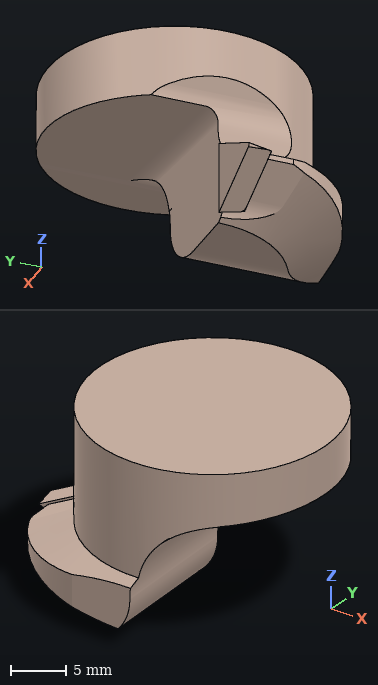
import cadquery as cq
import math


shank_radius = 12.5
head_height = 18.8
rim_top_z = -11.8

cut_z = -14.72
rim_half_height = rim_top_z - cut_z
flank_angle = 27.5
flank_slope = math.tan(math.radians(flank_angle))
rake_angle = 2.0

rim_tip_x = -16.42
rim_tip_end_y = -4.87
rim_arc_mid = (-11.07, -11.56)
rim_arc_end_x = -5.92
rim_side_y = -13.62

seat_tip_half_height = 0.27
seat_end_x = -12.33
seat_end_half_height = seat_tip_half_height + (seat_end_x - rim_tip_x) * flank_slope
gullet_radius = 3.95
ramp_angle = 45.0

relief_radius = 8.0
relief_wall_x = 0.4
relief_center_z = -13.4
heel_radius = 5.2

flange_tilt = 5.0
flange_axis_z = -6.17
chip_wall_y = 0.28
chip_fillet = 1.4

insert_tip_x = -17.87
insert_nose_radius = 0.25
insert_back_x = -11.25
insert_thickness = 2.38
insert_relief = 7.0
insert_face_y = 0.03

reach = 40.0


def make_rim():
    """Double cone about the shank axis, trimmed to the relieved plan outline."""
    bottom_half_height = cut_z + head_height
    bottom_radius = shank_radius - (bottom_half_height - rim_half_height) / flank_slope
    edge_radius = shank_radius + rim_half_height / flank_slope
    double_cone = (
        cq.Workplane("XZ")
        .moveTo(0, rim_top_z)
        .lineTo(shank_radius, rim_top_z)
        .lineTo(edge_radius, cut_z)
        .lineTo(bottom_radius, -head_height)
        .lineTo(0, -head_height)
        .close()
        .revolve(360, (0, 0, 0), (0, 1, 0))
    )
    outline = (
        cq.Workplane("XY", origin=(0, 0, -head_height))
        .moveTo(rim_tip_x, chip_wall_y)
        .lineTo(rim_tip_x, rim_tip_end_y)
        .threePointArc(rim_arc_mid, (rim_arc_end_x, rim_side_y))
        .lineTo(shank_radius, rim_side_y)
        .lineTo(shank_radius, chip_wall_y)
        .close()
        .extrude(head_height)
    )
    return double_cone.intersect(outline)


def make_gullet():
    """Void above the upper seat flank, running through along Y."""
    flank = math.radians(flank_angle)
    ramp = math.radians(ramp_angle)
    seat_end_z = cut_z + seat_end_half_height
    center_x = seat_end_x - gullet_radius * math.sin(flank)
    center_z = seat_end_z + gullet_radius * math.cos(flank)
    ramp_x = center_x + gullet_radius * math.sin(ramp)
    ramp_z = center_z + gullet_radius * math.cos(ramp)
    far_x = ramp_x - reach
    return (
        cq.Workplane("XZ")
        .moveTo(far_x, ramp_z + reach * math.tan(ramp))
        .lineTo(ramp_x, ramp_z)
        .threePointArc((center_x + gullet_radius, center_z), (seat_end_x, seat_end_z))
        .lineTo(far_x, seat_end_z - (seat_end_x - far_x) * flank_slope)
        .close()
        .extrude(reach, both=True)
    )


def make_relief():
    """Void to the right: tilted underside, large hollow, upright wall and rounded heel."""
    center_x = relief_wall_x + relief_radius
    tilt = math.radians(flange_tilt)
    tangent_x = center_x - relief_radius * math.sin(tilt)
    tangent_z = relief_center_z + relief_radius * math.cos(tilt)
    arc_start = math.pi / 2 + tilt
    middle = (arc_start + math.pi) / 2
    arc_middle = (
        center_x + relief_radius * math.cos(middle),
        relief_center_z + relief_radius * math.sin(middle),
    )
    heel_center_x = relief_wall_x - heel_radius
    heel_center_z = heel_radius - head_height
    heel_diagonal = heel_radius * math.sqrt(0.5)
    return (
        cq.Workplane("XZ")
        .moveTo(reach, tangent_z + (reach - tangent_x) * math.tan(tilt))
        .lineTo(tangent_x, tangent_z)
        .threePointArc(arc_middle, (relief_wall_x, relief_center_z))
        .lineTo(relief_wall_x, heel_center_z)
        .threePointArc(
            (heel_center_x + heel_diagonal, heel_center_z - heel_diagonal),
            (heel_center_x, -head_height),
        )
        .lineTo(heel_center_x, -reach)
        .lineTo(reach, -reach)
        .close()
        .extrude(reach, both=True)
    )


def make_chip_space():
    """Void on the +Y side, with a rounded corner between the rake wall and the tilted underside."""
    return (
        cq.Workplane("XY")
        .box(2 * reach, reach, reach, centered=(True, False, False))
        .translate((0, 0, -reach))
        .edges("<Y and >Z")
        .fillet(chip_fillet)
        .rotate((0, 0, 0), (0, 1, 0), -flange_tilt)
        .rotate((0, 0, 0), (0, 0, 1), rake_angle)
        .translate((0, chip_wall_y, flange_axis_z))
    )


def make_insert():
    """Pointed insert with a rounded nose; its flanks taper inwards away from the rake face."""
    half_angle = math.radians(flank_angle)
    nose_center_x = insert_tip_x + insert_nose_radius
    tangent_x = nose_center_x - insert_nose_radius * math.sin(half_angle)
    tangent_half = insert_nose_radius * math.cos(half_angle)
    back_half = tangent_half + (insert_back_x - tangent_x) * flank_slope
    return (
        cq.Workplane("XZ", origin=(0, insert_face_y, cut_z))
        .moveTo(insert_back_x, back_half)
        .lineTo(tangent_x, tangent_half)
        .threePointArc((insert_tip_x, 0), (tangent_x, -tangent_half))
        .lineTo(insert_back_x, -back_half)
        .close()
        .extrude(insert_thickness, taper=insert_relief)
        .rotate((insert_tip_x, insert_face_y, 0), (insert_tip_x, insert_face_y, 1), rake_angle)
    )


def make_head(insert):
    """Shank and rim in one solid, with a pocket that matches the insert."""
    shank = cq.Workplane("XY").circle(shank_radius).extrude(rim_top_z)
    head = shank.union(make_rim())
    gullet = make_gullet()
    lower_gullet = gullet.mirror("XY", (0, 0, cut_z))
    for void in (gullet, lower_gullet, make_relief(), make_chip_space()):
        head = head.cut(void)
    return head.cut(insert)


insert = make_insert()
head = make_head(insert)
result = cq.Compound.makeCompound([head.solids().val(), insert.solids().val()])